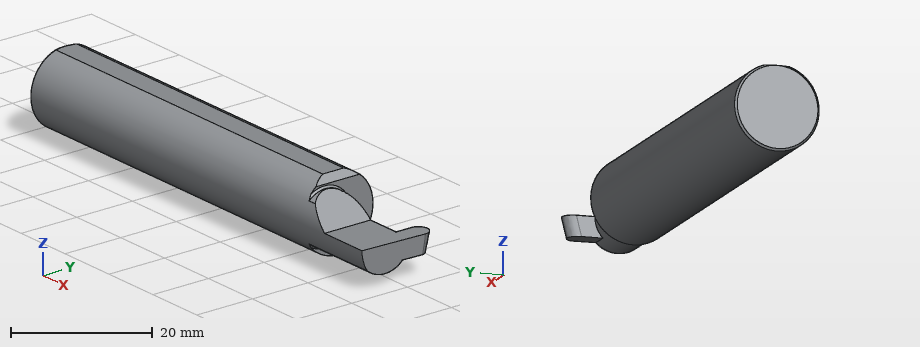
import cadquery as cq
import math

total_length = 76.2
shank_radius = 6.3
flat_width = 3.7
flat_height = math.sqrt(shank_radius**2 - (flat_width / 2) ** 2)
rear_chamfer = 0.3

shoulder_x = 62.25
neck_radius = 4.4
neck_side_y = 2.0
neck_center_y = neck_side_y - neck_radius
root_chamfer = 0.3

face_start_x = 67.2

hook_width = 3.2
hook_radius = hook_width / 2
hook_depth = 3.05
hook_relief_angle = 14.0
hook_inner_x = total_length - hook_width
hook_arc_y = shank_radius - hook_radius
end_setback = 0.45


def cylinder_along_x(radius, center_y, start_x, end_x):
    """Solid cylinder with its axis parallel to X."""
    return (
        cq.Workplane("YZ", origin=(start_x, center_y, 0))
        .circle(radius)
        .extrude(end_x - start_x)
    )


def make_shank():
    """Round bar, chamfered at the rear and flattened on top."""
    bar = cylinder_along_x(shank_radius, 0, 0, shoulder_x)
    bar = bar.faces("<X").chamfer(rear_chamfer)
    above_flat = cq.Workplane("XY", origin=(0, 0, flat_height)).rect(
        2 * total_length, 2 * shank_radius
    ).extrude(shank_radius)
    return bar.cut(above_flat)


def make_neck():
    """Eccentric neck with a conical root, kept inside the shank diameter."""
    neck = cylinder_along_x(neck_radius, neck_center_y, shoulder_x, total_length)
    root = (
        cq.Workplane("YZ", origin=(shoulder_x, neck_center_y, 0))
        .circle(neck_radius + root_chamfer)
        .workplane(offset=root_chamfer)
        .circle(neck_radius)
        .loft()
    )
    envelope = cylinder_along_x(shank_radius, 0, shoulder_x, total_length)
    return neck.union(root).intersect(envelope)


def hook_outline(plane, shift_y):
    """Round-ended finger from the neck toward +Y, with its tip moved by shift_y."""
    arc_y = hook_arc_y + shift_y
    return (
        plane.moveTo(hook_inner_x, neck_center_y)
        .lineTo(hook_inner_x, arc_y)
        .threePointArc(
            (hook_inner_x + hook_radius, arc_y + hook_radius), (total_length, arc_y)
        )
        .lineTo(total_length, neck_center_y)
        .close()
    )


def make_hook():
    """Cutting finger whose tip leans back below the cutting edge."""
    relief = hook_depth * math.tan(math.radians(hook_relief_angle))
    top = hook_outline(cq.Workplane("XY"), 0)
    return hook_outline(top.workplane(offset=-hook_depth), -relief).loft(ruled=True)


def make_face_cutter():
    """Removes everything above the ramp and the cutting face."""
    ramp_top = 2 * shank_radius
    return (
        cq.Workplane("XZ")
        .moveTo(face_start_x - ramp_top, ramp_top)
        .lineTo(face_start_x, 0)
        .lineTo(2 * total_length, 0)
        .lineTo(2 * total_length, ramp_top)
        .close()
        .extrude(2 * shank_radius, both=True)
    )


def make_end_cutter():
    """Trims the end face so that it falls back from the hook tip toward -Y."""
    return (
        cq.Workplane("XY")
        .moveTo(total_length, hook_arc_y)
        .lineTo(total_length - end_setback, -shank_radius)
        .lineTo(2 * total_length, -shank_radius)
        .lineTo(2 * total_length, hook_arc_y)
        .close()
        .extrude(2 * shank_radius, both=True)
    )


result = make_shank().union(make_neck()).union(make_hook())
result = result.cut(make_face_cutter()).cut(make_end_cutter())